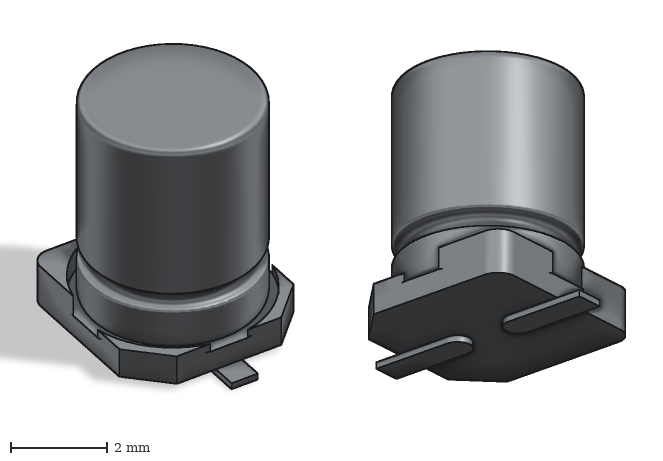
import cadquery as cq


overall_length = 5.5
overall_height = 5.7

lead_thickness = 0.15
lead_width = 0.65
lead_gap = 1.0

base_side = 4.3
base_corner_radius = 0.43
base_corner_chamfer = 0.86
base_tall_height = 1.0
base_low_height = 0.7
pocket_floor_height = 0.5
pocket_clearance = 0.2

can_radius = 2.0
can_edge_radius = 0.2
crimp_radius = 0.2
crimp_lip_radius = 0.1
crimp_height_on_can = 1.2

base_bottom = lead_thickness
can_bottom = base_bottom + pocket_floor_height
can_height = overall_height - can_bottom


def make_base():
    """Square base with two rounded corners, two cut corners and a round pocket for the can."""
    block = (
        cq.Workplane("XY")
        .workplane(offset=base_bottom)
        .rect(base_side, base_side)
        .extrude(base_tall_height)
    )
    block = block.edges("|Z and <X").fillet(base_corner_radius)
    block = block.edges("|Z and >X").chamfer(base_corner_chamfer)

    low_half_cut = (
        cq.Workplane("XY")
        .workplane(offset=base_bottom + base_low_height)
        .center(base_side / 4, 0)
        .rect(base_side / 2, base_side)
        .extrude(base_tall_height - base_low_height)
    )

    pocket = (
        cq.Workplane("XY")
        .workplane(offset=can_bottom)
        .circle(can_radius + pocket_clearance)
        .extrude(base_tall_height - pocket_floor_height)
    )
    return block.cut(low_half_cut).cut(pocket)


def make_can():
    """Round can with rounded rims and a crimp groove with rounded lips."""
    can = cq.Workplane("XY").circle(can_radius).extrude(can_height)
    can = can.faces("<Z or >Z").edges().fillet(can_edge_radius)

    crimp = (
        cq.Workplane("XZ")
        .center(can_radius, crimp_height_on_can)
        .circle(crimp_radius)
        .revolve(360, (-can_radius, 0), (-can_radius, 1))
    )
    can = can.cut(crimp)

    lip_zone = cq.selectors.BoxSelector(
        (-can_radius, -can_radius, crimp_height_on_can - 2 * crimp_radius),
        (can_radius, can_radius, crimp_height_on_can + 2 * crimp_radius),
    )
    can = can.edges(lip_zone).edges("%CIRCLE").fillet(crimp_lip_radius)
    return can.translate((0, 0, can_bottom))


def make_lead(side):
    """Flat lead with a round inner end; side is +1 for +X and -1 for -X."""
    end_radius = lead_width / 2
    outer_x = side * overall_length / 2
    tip_x = side * lead_gap / 2
    round_start_x = tip_x + side * end_radius
    return (
        cq.Workplane("XY")
        .moveTo(outer_x, end_radius)
        .lineTo(round_start_x, end_radius)
        .threePointArc((tip_x, 0), (round_start_x, -end_radius))
        .lineTo(outer_x, -end_radius)
        .close()
        .extrude(lead_thickness)
    )


result = make_base().union(make_can())
for side in (-1, 1):
    result = result.union(make_lead(side))